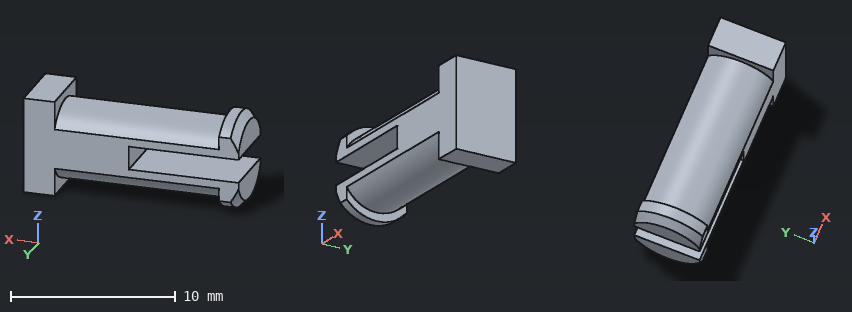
import cadquery as cq

length = 13.75
width = 4.3
head_height = 6.15

head_length = 2.0

shaft_diameter = 5.0

lip_length = 1.25
lip_chamfer = 0.51
lip_radius = 2.87
lip_height = 6.12
lip_axis_offset = lip_height / 2 - lip_radius

slot_height = 1.5
slot_length = 7.01


def make_head():
    """Rectangular block that ends the part."""
    return cq.Workplane("YZ", origin=(length - head_length, 0, 0)).rect(width, head_height).extrude(head_length)


def make_shaft():
    """Round shaft from the back of the lips to the head."""
    shaft_length = length - head_length - lip_length
    return cq.Workplane("YZ", origin=(lip_length, 0, 0)).circle(shaft_diameter / 2).extrude(shaft_length)


def make_lip(side):
    """Half-round lip with a chamfered tip; side is +1 for the upper prong, -1 for the lower."""
    disc = (
        cq.Workplane("YZ")
        .center(0, side * lip_axis_offset)
        .circle(lip_radius)
        .extrude(lip_length)
        .faces("<X")
        .chamfer(lip_chamfer)
    )
    prong_half = (
        cq.Workplane("XY")
        .box(lip_length, head_height, head_height)
        .translate((lip_length / 2, 0, side * head_height / 2))
    )
    return disc.intersect(prong_half)


body = make_shaft().union(make_head())
for side in (1, -1):
    body = body.union(make_lip(side))

flat_envelope = cq.Workplane("YZ").rect(width, head_height).extrude(length)
body = body.intersect(flat_envelope)

slot = cq.Workplane("YZ").rect(width, slot_height).extrude(slot_length)
result = body.cut(slot)